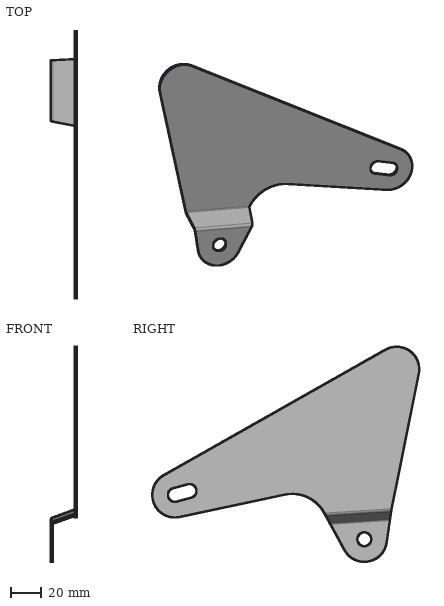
import cadquery as cq
import math

thickness = 1.5
overall_x = 17.3
lobe_radius = 15.0
upper_lobe = (21.4, 112.5)
arm_lobe = (-125.3, 29.3)
tab_lobe = (0, 0)
left_kink = (18.0, 19.6)
arm_slope = 12
tab_lean = 28.5
throat_radius = 24.0

hole_diameter = 9.0
slot_travel = 10.0
slot_angle = 15

web_slope = 20
bend_tilt = 3.7
upper_bend_z = 18.5
inner_bend_radius = 0.62
outer_bend_radius = inner_bend_radius + thickness
margin = 176.8
pick_reach = 0.2


def on_circle(center, angle, radius=lobe_radius):
    """Point on a circle at an angle in degrees, from +Y toward +Z."""
    a = math.radians(angle)
    return (center[0] + radius * math.cos(a), center[1] + radius * math.sin(a))


def direction(start, end):
    """Angle in degrees of the line from start to end."""
    return math.degrees(math.atan2(end[1] - start[1], end[0] - start[0]))


def tangent_angle(point, center, side):
    """Angle on a lobe where the tangent from an outside point touches it."""
    spread = math.degrees(math.acos(lobe_radius / math.dist(point, center)))
    return direction(center, point) + side * spread


def throat_center(arm_normal, tab_normal):
    """Centre of the arc tangent to the lower arm edge and the -Y tab edge."""
    a = math.radians(arm_normal)
    t = math.radians(tab_normal)
    reach = lobe_radius + throat_radius
    arm_offset = reach + arm_lobe[0] * math.cos(a) + arm_lobe[1] * math.sin(a)
    tab_offset = reach + tab_lobe[0] * math.cos(t) + tab_lobe[1] * math.sin(t)
    det = math.sin(t - a)
    y = (arm_offset * math.sin(t) - tab_offset * math.sin(a)) / det
    z = (tab_offset * math.cos(a) - arm_offset * math.cos(t)) / det
    return (y, z)


def bracket_outline():
    """Outline in the Y-Z plane, extruded through the whole width in X."""
    top_normal = direction(arm_lobe, upper_lobe) + 90
    arm_normal = arm_slope - 90
    tab_normal = 180 + tab_lean
    upper_end = tangent_angle(left_kink, upper_lobe, 1)
    tab_end = tangent_angle(left_kink, tab_lobe, -1)
    throat = throat_center(arm_normal, tab_normal)
    return (
        cq.Workplane("YZ")
        .moveTo(*on_circle(upper_lobe, upper_end))
        .threePointArc(
            on_circle(upper_lobe, (upper_end + top_normal) / 2),
            on_circle(upper_lobe, top_normal),
        )
        .lineTo(*on_circle(arm_lobe, top_normal))
        .threePointArc(on_circle(arm_lobe, 180), on_circle(arm_lobe, arm_normal))
        .lineTo(*on_circle(throat, arm_normal + 180, throat_radius))
        .threePointArc(
            on_circle(throat, (arm_normal + tab_normal) / 2, throat_radius),
            on_circle(throat, tab_normal + 180, throat_radius),
        )
        .lineTo(*on_circle(tab_lobe, tab_normal))
        .threePointArc(on_circle(tab_lobe, -90), on_circle(tab_lobe, tab_end))
        .lineTo(*left_kink)
        .close()
        .extrude(overall_x)
    )


def round_bend(body, x, z, radius):
    """Round the bend edge that runs along Y through (x, z)."""
    corner = cq.selectors.BoxSelector(
        (x - pick_reach, -pick_reach, z - pick_reach),
        (x + pick_reach, pick_reach, z + pick_reach),
    )
    return body.edges(corner).fillet(radius)


def joggled_sheet():
    """Endless joggled sheet: plate, sloped web and tab, with bend radii."""
    plate_x = overall_x - thickness
    slope = math.radians(web_slope)
    drop = plate_x * math.tan(slope)
    face_shift = thickness * math.tan((math.pi / 2 - slope) / 2)
    sheet = (
        cq.Workplane("XZ")
        .polyline([
            (plate_x, margin),
            (plate_x, 0),
            (0, -drop),
            (0, -margin),
            (thickness, -margin),
            (thickness, -drop - face_shift),
            (overall_x, -face_shift),
            (overall_x, margin),
        ])
        .close()
        .extrude(margin, both=True)
    )

    sheet = round_bend(sheet, plate_x, 0, inner_bend_radius)
    sheet = round_bend(sheet, overall_x, -face_shift, outer_bend_radius)
    sheet = round_bend(sheet, 0, -drop, outer_bend_radius)
    sheet = round_bend(sheet, thickness, -drop - face_shift, inner_bend_radius)
    return sheet.rotate((0, 0, 0), (1, 0, 0), bend_tilt).translate((0, 0, upper_bend_z))


def tab_hole():
    return cq.Workplane("YZ").circle(hole_diameter / 2).extrude(overall_x)


def arm_slot():
    """Slot whose outer end is concentric with the arm lobe."""
    center = on_circle(arm_lobe, slot_angle, slot_travel / 2)
    return (
        cq.Workplane("YZ")
        .center(*center)
        .slot2D(slot_travel + hole_diameter, hole_diameter, slot_angle)
        .extrude(overall_x)
    )


result = bracket_outline().intersect(joggled_sheet()).cut(tab_hole()).cut(arm_slot())